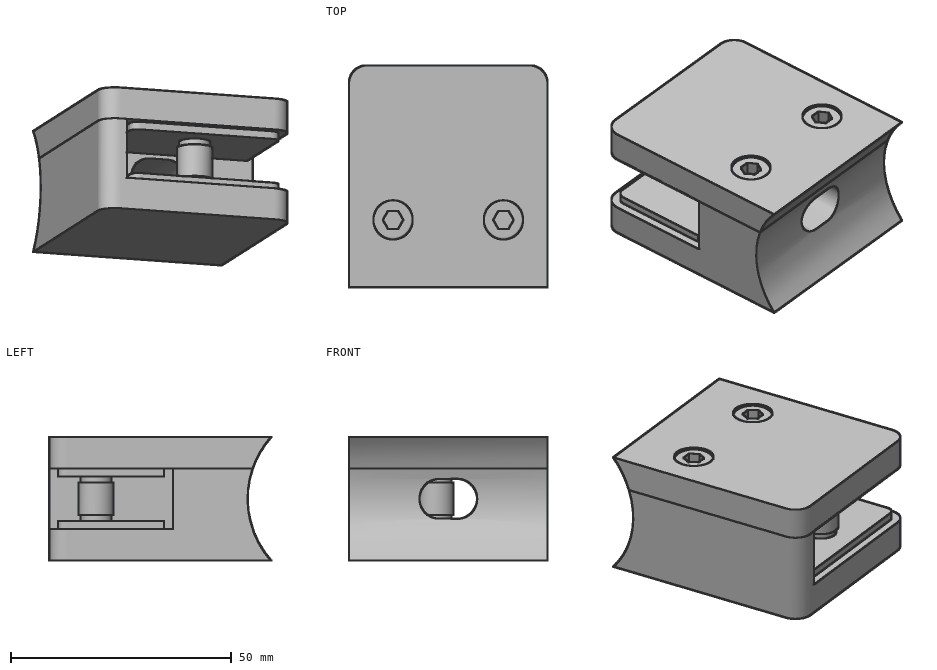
import cadquery as cq
import math

width = 45.0
length = 50.3
height = 28.0
corner_radius = 4.0
plate_thickness = 7.2

left_x = -width / 2
right_x = width / 2
front_y = -length / 2
back_y = length / 2
top_z = height / 2
bottom_z = -height / 2
split_z = top_z - plate_thickness
floor_z = bottom_z + plate_thickness

saddle_depth = 5.35
saddle_radius = (top_z**2 + saddle_depth**2) / (2 * saddle_depth)
saddle_axis_y = front_y + saddle_depth - saddle_radius

gap_depth = 28.0
end_wall = 5.55
gap_front_y = back_y - gap_depth
gap_right_x = right_x - end_wall
gap_center_x = (left_x + gap_right_x) / 2

slot_length = 13.0
slot_height = 9.0

pad_margin = 2.0
pad_thickness = 1.75
pad_corner_radius = corner_radius - pad_margin

pin_diameter = 8.0
pin_end_diameter = 7.1
pin_body_height = 7.35
pin_back_offset = 10.6
pin_bottom_z = floor_z + pad_thickness
pin_top_z = split_z - pad_thickness

screw_spacing = 25.0
screw_y = back_y - 35.0
head_diameter = 8.9
head_height = 5.05
head_recess = 0.3
head_top_z = top_z - head_recess
head_bottom_z = head_top_z - head_height
head_edge_radius = 0.45
shank_diameter = 5.05
shank_length = 10.05
shank_bottom_z = head_bottom_z - shank_length
socket_flats = 4.0
socket_depth = 3.0
hexagon_sides = 6
screw_xs = [-screw_spacing / 2, screw_spacing / 2]


def block(x_min, x_max, y_min, y_max, z_min, z_max):
    """Box given by its limits along each axis."""
    box = cq.Workplane("XY").box(x_max - x_min, y_max - y_min, z_max - z_min, centered=False)
    return box.translate((x_min, y_min, z_min))


def upright_cylinder(x, y, z_min, z_max, diameter):
    """Cylinder along Z between two heights."""
    return cq.Workplane("XY", origin=(x, y, z_min)).circle(diameter / 2).extrude(z_max - z_min)


def clamp_slab(z_min, z_max):
    """Slab with the full clamp outline: rounded back corners and saddled front."""
    slab = block(left_x, right_x, front_y, back_y, z_min, z_max)
    slab = slab.edges("|Z and >Y").fillet(corner_radius)
    saddle = (
        cq.Workplane("YZ", origin=(left_x, saddle_axis_y, 0))
        .circle(saddle_radius)
        .extrude(width)
    )
    return slab.cut(saddle)


def screw_blank(x):
    """Outside shape of a screw: head with a rounded rim and a plain shank."""
    head = upright_cylinder(x, screw_y, head_bottom_z, head_top_z, head_diameter)
    head = head.faces(">Z").edges().fillet(head_edge_radius)
    shank = upright_cylinder(x, screw_y, shank_bottom_z, head_bottom_z, shank_diameter)
    return head.union(shank)


def screw_hole(x):
    """Counterbored hole that takes one screw."""
    counterbore = upright_cylinder(x, screw_y, head_bottom_z, top_z, head_diameter)
    shank = upright_cylinder(x, screw_y, shank_bottom_z, head_bottom_z, shank_diameter)
    return counterbore.union(shank)


def make_screw(x):
    """Screw with a hexagon socket in its head."""
    socket = (
        cq.Workplane("XY", origin=(x, screw_y, head_top_z - socket_depth))
        .polygon(hexagon_sides, socket_flats / math.cos(math.pi / hexagon_sides))
        .extrude(socket_depth)
    )
    return screw_blank(x).cut(socket)


def make_housing():
    """Lower jaw, front block and end wall in one piece."""
    body = clamp_slab(bottom_z, split_z)
    body = body.cut(block(left_x, gap_right_x, gap_front_y, back_y, floor_z, split_z))
    slot = (
        cq.Workplane("XZ", origin=(0, gap_front_y, 0))
        .slot2D(slot_length, slot_height)
        .extrude(gap_front_y - front_y)
    )
    body = body.cut(slot)
    for x in screw_xs:
        body = body.cut(screw_hole(x))
    return body


def make_cover():
    """Upper jaw: plate with counterbored screw holes."""
    plate = clamp_slab(split_z, top_z)
    for x in screw_xs:
        plate = plate.cut(screw_hole(x))
    return plate


def make_pad(z_min):
    """Flat pad, set in by the same margin on all sides of the gap."""
    pad = block(
        left_x + pad_margin,
        gap_right_x - pad_margin,
        gap_front_y + pad_margin,
        back_y - pad_margin,
        z_min,
        z_min + pad_thickness,
    )
    return pad.edges("|Z and >Y").fillet(pad_corner_radius)


def make_pin():
    """Round pin with a slimmer stub at each end."""
    pin_y = back_y - pin_back_offset
    stubs = upright_cylinder(gap_center_x, pin_y, pin_bottom_z, pin_top_z, pin_end_diameter)
    barrel = upright_cylinder(
        gap_center_x, pin_y, -pin_body_height / 2, pin_body_height / 2, pin_diameter
    )
    return stubs.union(barrel)


housing = make_housing()
cover = make_cover()
pads = [make_pad(z) for z in (floor_z, pin_top_z)]
pin = make_pin()
screws = [make_screw(x) for x in screw_xs]

result = cq.Compound.makeCompound(
    [
        housing.val(),
        cover.val(),
        *[pad.val() for pad in pads],
        pin.val(),
        *[screw.val() for screw in screws],
    ]
)